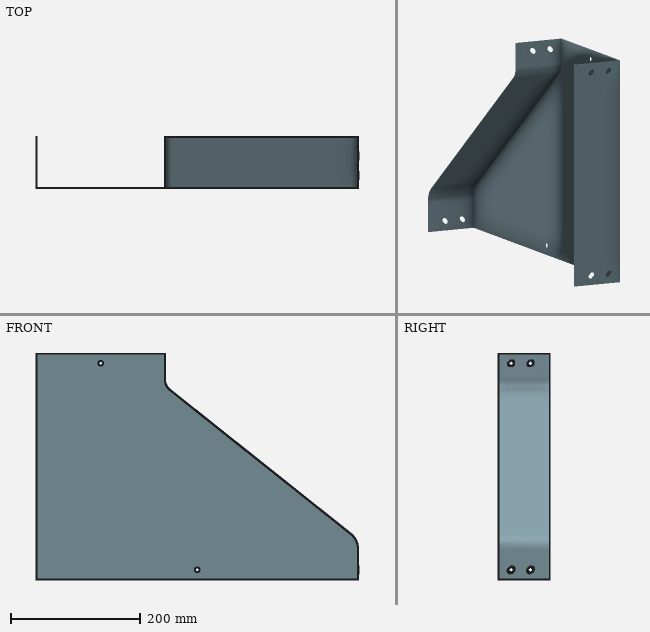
import cadquery as cq

length = 500.0
depth = 80.0
height = 350.0
sheet = 0.75

collar_height = 1.0
plate_length = length - collar_height
top_length = 200.0
slope_top = 300.0
slope_bottom = 62.0
inner_bend_radius = 20.0
outer_bend_radius = 30.0

panel_hole_diameter = 7.0
slot_length = 11.0
slot_width = 7.0
slot_tilt = 45.0
edge_distance = 15.0
wall_hole_depths = (20.0, 50.0)
wall_hole_heights = (edge_distance, height - edge_distance)
panel_holes = (
    (top_length / 2, height - edge_distance),
    (plate_length / 2, edge_distance),
)


def solid_outline():
    """Solid block with the side outline, bent edges rounded."""
    block = (
        cq.Workplane("XZ")
        .moveTo(0, 0)
        .lineTo(plate_length, 0)
        .lineTo(plate_length, slope_bottom)
        .lineTo(top_length, slope_top)
        .lineTo(top_length, height)
        .lineTo(0, height)
        .close()
        .extrude(-depth)
    )
    block = block.edges(
        cq.NearestToPointSelector((top_length, depth / 2, slope_top))
    ).fillet(inner_bend_radius)
    return block.edges(
        cq.NearestToPointSelector((plate_length, depth / 2, slope_bottom))
    ).fillet(outer_bend_radius)


def sheet_shell():
    """Thin walls along the outline, open at the back, top and bottom."""
    return solid_outline().faces(">Y or >Z or <Z").shell(-sheet)


def slots_along_x(start, end, slot_length, slot_width, tilt, heights):
    """Oblong prisms along X at every wall hole position, tilted from +Y towards +Z."""
    points = [(y, z) for y in wall_hole_depths for z in heights]
    return (
        cq.Workplane("YZ", origin=(start, 0, 0))
        .pushPoints(points)
        .slot2D(slot_length, slot_width, tilt)
        .extrude(end - start)
    )


def panel_hole_cutters():
    """Holes through the front panel."""
    return cq.Workplane("XZ").pushPoints(panel_holes).circle(panel_hole_diameter / 2).extrude(-depth)


collars = slots_along_x(
    plate_length - sheet, length, slot_length + 2 * sheet, slot_width + 2 * sheet, slot_tilt, (edge_distance,)
)
left_slots = slots_along_x(0, top_length / 2, slot_length, slot_width, -slot_tilt, wall_hole_heights)
right_slots = slots_along_x(top_length / 2, length, slot_length, slot_width, slot_tilt, wall_hole_heights)

result = sheet_shell().union(collars).cut(left_slots).cut(right_slots).cut(panel_hole_cutters())